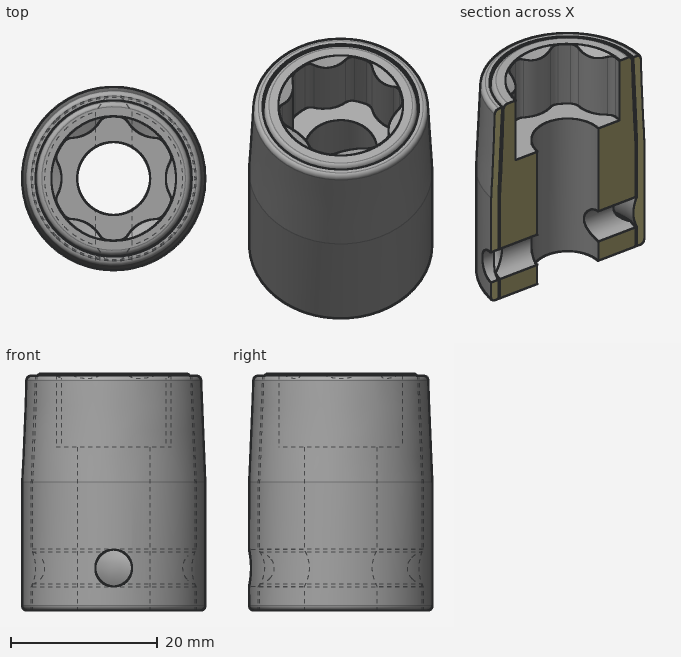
import cadquery as cq
import math

SLEEVE_HEIGHT = 32.0
TOP_PROUD = 0.3
SOCKET_HEIGHT = SLEEVE_HEIGHT + TOP_PROUD
TAPER_START = 17.5

SLEEVE_RADIUS = 12.5
SLEEVE_TOP_RADIUS = 11.9
SLEEVE_WALL = 1.25
EDGE_FILLET = 0.7

CLEARANCE = 0.2
SOCKET_RADIUS = SLEEVE_RADIUS - SLEEVE_WALL - CLEARANCE
SOCKET_TOP_RADIUS = SLEEVE_TOP_RADIUS - SLEEVE_WALL - CLEARANCE
THROUGH_BORE_RADIUS = 4.95

PIN_HEIGHT = 5.8
PIN_HOLE_DIAMETER = 5.0
PIN_HOLE_START = SLEEVE_RADIUS + 1.0
GROOVE_RADIUS = 2.3
GROOVE_CENTRE_RADIUS = 11.7
BEAD_HALF_WIDTH = 2.6
BEAD_DEPTH = 0.6

LOBE_COUNT = 6
LOBE_RADIUS = 8.42
VALLEY_RADIUS = 7.1
RIDGE_ROUND = 4.7
LOBE_CORNER_ROUND = 1.4
RECESS_DEPTH = 10.0
LEAD_IN_RADIUS = 8.5
LEAD_IN_DEPTH = 0.7


def polar(radius, angle):
    return (radius * math.cos(angle), radius * math.sin(angle))


def tapered_blank(radius, top_radius, height):
    """Solid of revolution: straight up to TAPER_START, then a cone to the top."""
    return (
        cq.Workplane("XZ")
        .moveTo(0, 0)
        .lineTo(radius, 0)
        .lineTo(radius, TAPER_START)
        .lineTo(top_radius, height)
        .lineTo(0, height)
        .close()
        .revolve(360, (0, 0, 0), (0, 1, 0))
    )


def pin_hole(length):
    """Round cutter that starts outside the sleeve on the -Y side and runs toward +Y."""
    return (
        cq.Workplane("XZ", origin=(0, -PIN_HOLE_START, PIN_HEIGHT))
        .circle(PIN_HOLE_DIAMETER / 2)
        .extrude(-length)
    )


def retaining_bead():
    """Ring with a rounded inner face, reaching into the wall of the sleeve."""
    bore = SLEEVE_RADIUS - SLEEVE_WALL
    root = bore + SLEEVE_WALL / 2
    low = PIN_HEIGHT - BEAD_HALF_WIDTH
    high = PIN_HEIGHT + BEAD_HALF_WIDTH
    return (
        cq.Workplane("XZ")
        .moveTo(root, low)
        .lineTo(bore, low)
        .threePointArc((bore - BEAD_DEPTH, PIN_HEIGHT), (bore, high))
        .lineTo(root, high)
        .close()
        .revolve(360, (0, 0, 0), (0, 1, 0))
    )


def make_sleeve():
    blank = tapered_blank(SLEEVE_RADIUS, SLEEVE_TOP_RADIUS, SLEEVE_HEIGHT)
    blank = blank.faces("<Z or >Z").edges().fillet(EDGE_FILLET)
    bore = tapered_blank(
        SLEEVE_RADIUS - SLEEVE_WALL, SLEEVE_TOP_RADIUS - SLEEVE_WALL, SLEEVE_HEIGHT
    )
    return blank.cut(bore).union(retaining_bead()).cut(pin_hole(PIN_HOLE_START))


def lobed_outline():
    """Closed outline of tangent arcs: ridge, corner, crest, corner, for each lobe."""
    ridge_centre = VALLEY_RADIUS + RIDGE_ROUND
    corner_centre = LOBE_RADIUS - LOBE_CORNER_ROUND
    centre_gap = RIDGE_ROUND + LOBE_CORNER_ROUND
    corner_angle = math.acos(
        (ridge_centre**2 + corner_centre**2 - centre_gap**2) / (2 * ridge_centre * corner_centre)
    )
    corner_x, corner_y = polar(corner_centre, corner_angle)
    tangent_angle = math.atan2(-corner_y, ridge_centre - corner_x)
    middle_angle = (tangent_angle + corner_angle) / 2
    step_x, step_y = polar(LOBE_CORNER_ROUND, tangent_angle)
    mid_x, mid_y = polar(LOBE_CORNER_ROUND, middle_angle)
    tangent_point = (corner_x + step_x, corner_y + step_y)
    corner_middle = (corner_x + mid_x, corner_y + mid_y)

    def placed(point, angle, side=1):
        """Rotate a point of the first ridge; side -1 mirrors it across the ridge."""
        radius = math.hypot(*point)
        return polar(radius, angle + side * math.atan2(point[1], point[0]))

    pitch = 2 * math.pi / LOBE_COUNT
    outline = cq.Workplane("XY").moveTo(*placed(tangent_point, 0, -1))
    for index in range(LOBE_COUNT):
        ridge = index * pitch
        following = ridge + pitch
        outline = (
            outline.threePointArc(polar(VALLEY_RADIUS, ridge), placed(tangent_point, ridge))
            .threePointArc(placed(corner_middle, ridge), polar(LOBE_RADIUS, ridge + corner_angle))
            .threePointArc(
                polar(LOBE_RADIUS, ridge + pitch / 2), polar(LOBE_RADIUS, following - corner_angle)
            )
            .threePointArc(placed(corner_middle, following, -1), placed(tangent_point, following, -1))
        )
    return outline.close()


def drive_recess():
    floor = SOCKET_HEIGHT - RECESS_DEPTH
    return lobed_outline().extrude(RECESS_DEPTH).translate((0, 0, floor))


def lead_in():
    """Shallow cone that bevels the ridges at the mouth of the recess."""
    return (
        cq.Workplane("XZ")
        .moveTo(0, SOCKET_HEIGHT)
        .lineTo(LEAD_IN_RADIUS, SOCKET_HEIGHT)
        .lineTo(VALLEY_RADIUS, SOCKET_HEIGHT - LEAD_IN_DEPTH)
        .lineTo(0, SOCKET_HEIGHT - LEAD_IN_DEPTH)
        .close()
        .revolve(360, (0, 0, 0), (0, 1, 0))
    )


def retaining_groove():
    circle = cq.Workplane("XZ").center(GROOVE_CENTRE_RADIUS, PIN_HEIGHT).circle(GROOVE_RADIUS)
    return circle.revolve(360, (-GROOVE_CENTRE_RADIUS, 0, 0), (-GROOVE_CENTRE_RADIUS, 1, 0))


def make_socket():
    socket = tapered_blank(SOCKET_RADIUS, SOCKET_TOP_RADIUS, SOCKET_HEIGHT)
    socket = socket.faces(">Z").edges().fillet(EDGE_FILLET)
    through_bore = cq.Workplane("XY").circle(THROUGH_BORE_RADIUS).extrude(SOCKET_HEIGHT)
    socket = socket.cut(through_bore).cut(drive_recess()).cut(lead_in())
    return socket.cut(retaining_groove()).cut(pin_hole(2 * PIN_HOLE_START))


sleeve = make_sleeve()
socket = make_socket()
result = cq.Compound.makeCompound([sleeve.solids().val(), socket.solids().val()])